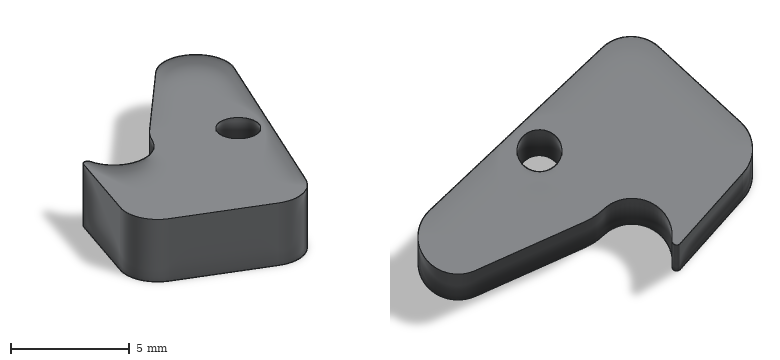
import cadquery as cq
import math

LENGTH = 13.8
THICKNESS = 3.0
HOLE_DIAMETER = 1.9
TOP_EDGE_Y = 1.4
CORNER_RADIUS = 1.7
HOOK_RADIUS = 1.7
HOOK_CENTER_Y = -5.5
SHOULDER_RADIUS = 2.8
TIP_RADIUS = 0.2
TIP_BOTTOM_Y = -7.2
BOTTOM_EDGE_ANGLE = math.radians(5.0)

right_x = LENGTH / 2
corner_x = right_x - CORNER_RADIUS
corner_y = TOP_EDGE_Y - CORNER_RADIUS
nose_center = (-corner_x, corner_y)
top_corner_center = (corner_x, corner_y)
hook_center = (0, HOOK_CENTER_Y)
hook_top = (0, HOOK_CENTER_Y + HOOK_RADIUS)
shoulder_center = (0, hook_top[1] + SHOULDER_RADIUS)

tip_y = TIP_BOTTOM_Y + TIP_RADIUS
tip_x = math.sqrt((HOOK_RADIUS + TIP_RADIUS) ** 2 - (tip_y - HOOK_CENTER_Y) ** 2)
tip_center = (tip_x, tip_y)

corner_rise = (
    (corner_x - tip_x) * math.sin(BOTTOM_EDGE_ANGLE) + CORNER_RADIUS - TIP_RADIUS
) / math.cos(BOTTOM_EDGE_ANGLE)
bottom_corner_center = (corner_x, tip_y + corner_rise)

RIGHT = 0
UP = math.pi / 2
DOWN = -math.pi / 2
FULL_TURN = 2 * math.pi
bottom_edge_normal = DOWN + BOTTOM_EDGE_ANGLE
tip_to_hook = math.atan2(HOOK_CENTER_Y - tip_y, -tip_x)

centers_dx = shoulder_center[0] - nose_center[0]
centers_dy = shoulder_center[1] - nose_center[1]
slope_angle = math.atan2(centers_dy, centers_dx) - math.asin(
    (SHOULDER_RADIUS - CORNER_RADIUS) / math.hypot(centers_dx, centers_dy)
)
slope_normal = DOWN + slope_angle


def on_circle(center, radius, angle):
    """Point on a circle in the given direction from its centre."""
    return (center[0] + radius * math.cos(angle), center[1] + radius * math.sin(angle))


def add_arc(outline, center, radius, start, end):
    """Extend the outline by an arc that begins at its current point."""
    middle = on_circle(center, radius, (start + end) / 2)
    return outline.threePointArc(middle, on_circle(center, radius, end))


def make_outline():
    """Closed lever outline, clockwise from the left end of the top edge."""
    outline = cq.Workplane("XY").moveTo(*on_circle(nose_center, CORNER_RADIUS, UP))

    outline = outline.lineTo(*on_circle(top_corner_center, CORNER_RADIUS, UP))
    outline = add_arc(outline, top_corner_center, CORNER_RADIUS, UP, RIGHT)

    outline = outline.lineTo(*on_circle(bottom_corner_center, CORNER_RADIUS, RIGHT))
    outline = add_arc(outline, bottom_corner_center, CORNER_RADIUS, RIGHT, bottom_edge_normal)

    outline = outline.lineTo(*on_circle(tip_center, TIP_RADIUS, bottom_edge_normal))
    outline = add_arc(outline, tip_center, TIP_RADIUS, bottom_edge_normal, tip_to_hook - FULL_TURN)
    outline = add_arc(outline, hook_center, HOOK_RADIUS, tip_to_hook - math.pi, UP)
    outline = add_arc(outline, shoulder_center, SHOULDER_RADIUS, DOWN, slope_normal)

    outline = outline.lineTo(*on_circle(nose_center, CORNER_RADIUS, slope_normal))
    outline = add_arc(outline, nose_center, CORNER_RADIUS, slope_normal, UP - FULL_TURN)
    return outline.close()


def make_pivot_hole():
    return cq.Workplane("XY").circle(HOLE_DIAMETER / 2).extrude(THICKNESS)


result = make_outline().extrude(THICKNESS).cut(make_pivot_hole())